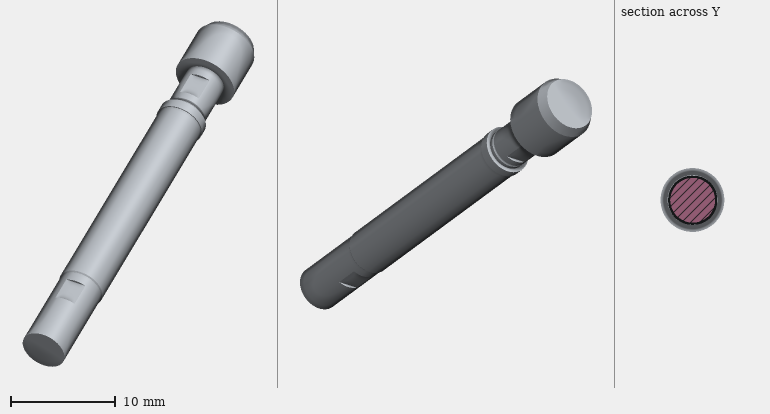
import cadquery as cq

total_length = 43.2

head_diameter = 6.1
head_radius = head_diameter / 2
head_length = 5.65
head_chamfer_length = 0.95
head_chamfer_depth = 0.48

neck_diameter = 3.97
neck_radius = neck_diameter / 2
groove_start = 10.05
groove_width = 0.25
groove_depth = 0.15

collar_diameter = 4.75
collar_radius = collar_diameter / 2
collar_start = 10.7
collar_length = 0.95
barrel_diameter = 4.55
barrel_radius = barrel_diameter / 2
barrel_end = 34.65
barrel_taper_length = 0.15

tail_diameter = 4.35
tail_radius = tail_diameter / 2

flat_length = 2.5
neck_flat_start = 6.8
neck_across_flats = 3.45
tail_flat_start = 35.7
tail_across_flats = 3.9


def station(distance):
    """Y position at a distance below the top of the head, with Y = 0 at mid-length."""
    return total_length / 2 - distance


def turned_body():
    groove_end = groove_start + groove_width
    collar_end = collar_start + collar_length
    profile = [
        (0, 0),
        (head_radius - head_chamfer_depth, 0),
        (head_radius, head_chamfer_length),
        (head_radius, head_length),
        (neck_radius, head_length),
        (neck_radius, groove_start),
        (neck_radius - groove_depth, groove_start + groove_width / 2),
        (neck_radius, groove_end),
        (neck_radius, collar_start),
        (collar_radius, collar_start),
        (collar_radius, collar_end),
        (barrel_radius, collar_end),
        (barrel_radius, barrel_end - barrel_taper_length),
        (tail_radius, barrel_end),
        (tail_radius, total_length),
        (0, total_length),
    ]
    outline = [(radius, station(distance)) for radius, distance in profile]
    return cq.Workplane("XY").polyline(outline).close().revolve(360, (0, 0), (0, 1))


def cut_flats(body, start, radius, across_flats):
    """Cut two opposed flats into a shaft, leaving the given size between them."""
    middle = station(start + flat_length / 2)
    for side in (1, -1):
        cutter = (
            cq.Workplane("XY")
            .box(2 * radius, flat_length, radius, centered=(True, True, False))
            .translate((0, middle, across_flats / 2))
        )
        if side < 0:
            cutter = cutter.mirror("XY")
        body = body.cut(cutter)
    return body


result = turned_body()
result = cut_flats(result, neck_flat_start, neck_radius, neck_across_flats)
result = cut_flats(result, tail_flat_start, tail_radius, tail_across_flats)